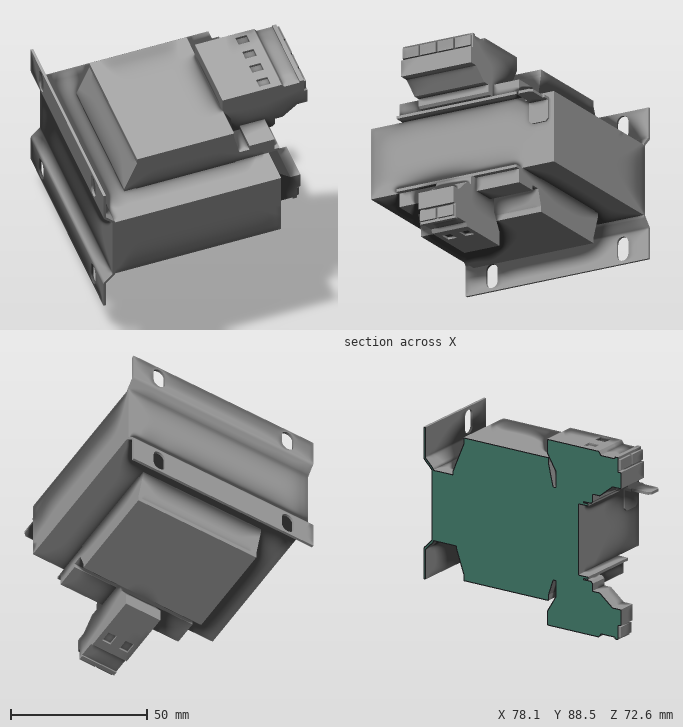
import cadquery as cq
import math


width = 78.1
core_half_height = 13.8
core_back = 69.5
window_half_width = 25.8
window_front = 17.6
window_back = 56.5

sheet = 1.0
bracket_offset = 3.6
slope_angle = 45
bracket_half_height = 29.65
bend_inner_radius = 0.9
slot_width = 4.9
slot_length = 9.4
slot_x = 27.9
slot_z = 23.7
core_front = bracket_offset + sheet

bobbin_half_width = 25.6
flange_back = 73.8
flange_top = 14.9
block_back = 71.8
block_front = 62.0
block_top = 20.2
ledge_front = 58.1
ledge_top = 18.2
cover_back = 56.0
cover_front = 18.05
cover_lip = 2.2
upper_cover_top = 29.2
upper_cover_foot = 13.0
lower_cover_top = 26.6
lower_cover_foot = 14.7

upper_terminals = 2
lower_terminals = 1
poles_per_terminal = 2
terminal_width = 14.9
terminal_back = 88.5
terminal_front = 55.4
terminal_top = 36.3
terminal_bottom = 15.1
roof_back = 78.5
groove_front = 79.5
groove_back = 85.6
groove_floor = 34.9
rim_top = 35.6
chin_bottom = 23.5
chin_front = 84.6
neck_top = 18.85
neck_slope_end = 78.85
neck_back = 75.85
neck_corner = 0.9
stem_front = 59.1
stem_shoulder = 24.5
nose_bottom = 30.7
pole_pitch = terminal_width / poles_per_terminal
nub_width = 6.7
nub_back = 88.15
nub_bottom = 30.6
nub_top = 34.6
recess_back = 87.2
recess_bottom = 29.9
pocket_width = 3.5
pocket_front = 70.45
pocket_back = 74.9
pocket_depth = 1.0

tab_x = -32.9
tab_foot_width = 8.05
tab_blade_width = 6.5
tab_shoulder = 72.8
tab_tip = 80.8
tab_top = 11.8
tab_thickness = 1.1
tab_foot_bottom = 2.5
tab_foot_thickness = 0.7
tab_corner = 1.1


def side_profile(points, length):
    """Extrude a closed (Y, Z) outline along X, centred on X = 0."""
    return cq.Workplane("YZ").polyline(points).close().extrude(length / 2, both=True)


def block(x_range, y_range, z_range):
    """Box given by its limits along each axis."""
    (x0, x1), (y0, y1), (z0, z1) = x_range, y_range, z_range
    return cq.Workplane("XY").box(x1 - x0, y1 - y0, z1 - z0, centered=False).translate((x0, y0, z0))


def make_core():
    """Core block with a bobbin-filled window."""
    half_width = width / 2
    height_range = (-core_half_height, core_half_height)
    core = block((-half_width, half_width), (core_front, core_back), height_range)
    window = block((-window_half_width, window_half_width), (window_front, window_back), height_range)
    filling = block((-bobbin_half_width, bobbin_half_width), (window_front, window_back), height_range)
    return core.cut(window.cut(filling))


def make_bracket():
    """Bent sheet bracket with two slotted mounting flanges."""
    slope = math.radians(slope_angle)
    bend_shift = sheet * math.tan(slope / 2)
    centre_bend = core_half_height
    foot_bend = centre_bend + bracket_offset / math.tan(slope)
    front = [
        (0, bracket_half_height),
        (0, foot_bend),
        (bracket_offset, centre_bend),
    ]
    back = [
        (core_front, centre_bend + bend_shift),
        (sheet, foot_bend + bend_shift),
        (sheet, bracket_half_height),
    ]
    upper = front + [(bracket_offset, 0), (core_front, 0)] + back
    half = side_profile(upper, width)
    bend_outer_radius = bend_inner_radius + sheet
    bends = [
        (front[1], bend_outer_radius),
        (front[2], bend_inner_radius),
        (back[0], bend_outer_radius),
        (back[1], bend_inner_radius),
    ]
    for (y, z), radius in bends:
        half = half.edges(cq.selectors.NearestToPointSelector((0, y, z))).fillet(radius)
    bracket = half.union(half.mirror("XY"))
    slots = (
        cq.Workplane("XZ")
        .pushPoints([(x, z) for x in (-slot_x, slot_x) for z in (-slot_z, slot_z)])
        .slot2D(slot_length, slot_width, angle=90)
        .extrude(-sheet)
    )
    return bracket.cut(slots)


def make_coil_side(cover_top, cover_foot):
    """Bobbin flange, terminal block and coil cover on the upper side of the core."""
    shoulder = cover_top - cover_lip
    return side_profile(
        [
            (flange_back, core_half_height),
            (flange_back, flange_top),
            (block_back, flange_top),
            (block_back, block_top),
            (block_front, block_top),
            (block_front, ledge_top),
            (ledge_front, ledge_top),
            (cover_back, shoulder),
            (cover_back, cover_top),
            (cover_front, cover_top),
            (cover_front, shoulder),
            (cover_foot, flange_top),
            (cover_foot, core_half_height),
        ],
        2 * bobbin_half_width,
    )


def make_terminals(count):
    """Row of clamp terminals on the upper side, each pole with a rear nub and a top pocket."""
    row = side_profile(
        [
            (terminal_front, terminal_top),
            (roof_back, terminal_top),
            (groove_front, groove_floor),
            (groove_back, groove_floor),
            (groove_back, rim_top),
            (recess_back, rim_top),
            (recess_back, recess_bottom),
            (terminal_back, recess_bottom),
            (terminal_back, chin_bottom),
            (chin_front, chin_bottom),
            (neck_slope_end, neck_top),
            (neck_back, neck_top),
            (neck_back, terminal_bottom + neck_corner),
            (neck_back - neck_corner, terminal_bottom),
            (block_front, terminal_bottom),
            (block_front, ledge_top),
            (stem_front, ledge_top),
            (stem_front, stem_shoulder),
            (terminal_front, nose_bottom),
        ],
        count * terminal_width,
    )
    poles = poles_per_terminal * count
    for pole in range(poles):
        x = (pole - (poles - 1) / 2) * pole_pitch
        nub_range = (x - nub_width / 2, x + nub_width / 2)
        pocket_range = (x - pocket_width / 2, x + pocket_width / 2)
        row = row.union(block(nub_range, (recess_back, nub_back), (nub_bottom, nub_top)))
        pocket_z = (terminal_top - pocket_depth, terminal_top)
        row = row.cut(block(pocket_range, (pocket_front, pocket_back), pocket_z))
    return row


def make_earth_tab():
    """Blade standing off the back of the core on a flat foot."""
    blade_bottom = tab_top - tab_thickness
    foot_range = (tab_x - tab_foot_width / 2, tab_x + tab_foot_width / 2)
    blade_range = (tab_x - tab_blade_width / 2, tab_x + tab_blade_width / 2)
    blade_z = (blade_bottom, tab_top)
    foot_y = (core_back, core_back + tab_foot_thickness)
    foot = block(foot_range, foot_y, (tab_foot_bottom, tab_top))
    foot = foot.edges("|Y and <Z").chamfer(tab_corner)
    root = block(foot_range, (core_back, tab_shoulder), blade_z)
    blade = block(blade_range, (core_back, tab_tip), blade_z)
    blade = blade.edges("|Z and >Y").chamfer(tab_corner)
    return foot.union(root).union(blade)


upper_side = make_coil_side(upper_cover_top, upper_cover_foot).union(make_terminals(upper_terminals))
lower_side = make_coil_side(lower_cover_top, lower_cover_foot).union(make_terminals(lower_terminals))
lower_side = lower_side.mirror("XY")

result = make_core().union(make_bracket()).union(upper_side).union(lower_side).union(make_earth_tab())